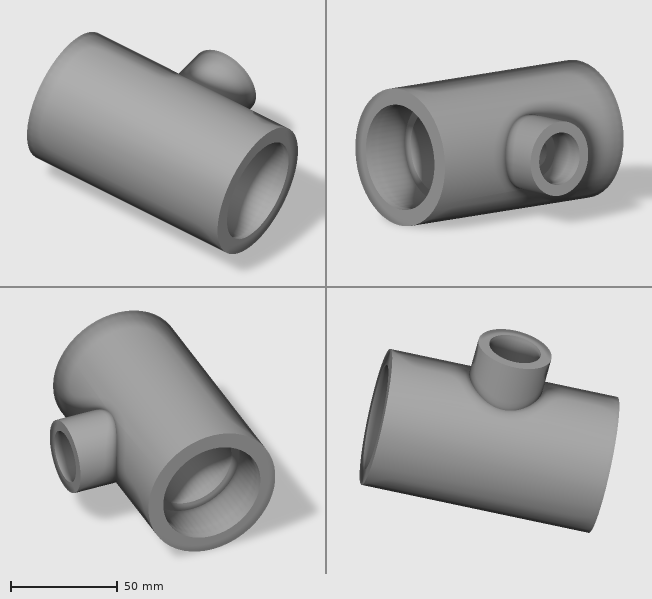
import cadquery as cq

run_length = 110.0
run_diameter = 65.5
run_bore = 41.7
run_socket_diameter = 50.0
run_socket_depth = 24.0

branch_reach = 51.0
branch_diameter = 35.5
branch_bore = 15.0
branch_socket_diameter = 25.0
branch_socket_depth = 18.0


def cylinder_x(diameter, start, length):
    """Cylinder on the run axis, from x = start towards +X."""
    return cq.Workplane("YZ").workplane(offset=start).circle(diameter / 2).extrude(length)


def cylinder_y(diameter, start, length):
    """Cylinder on the branch axis, from y = start towards +Y."""
    return cq.Workplane("XZ").workplane(offset=-start).circle(diameter / 2).extrude(-length)


run_start = -run_length / 2
body = cylinder_x(run_diameter, run_start, run_length)
body = body.union(cylinder_y(branch_diameter, 0, branch_reach))

body = body.cut(cylinder_x(run_bore, run_start, run_length))
for socket_start in (run_start, run_length / 2 - run_socket_depth):
    body = body.cut(cylinder_x(run_socket_diameter, socket_start, run_socket_depth))

body = body.cut(cylinder_y(branch_bore, 0, branch_reach))
socket_floor = branch_reach - branch_socket_depth
result = body.cut(cylinder_y(branch_socket_diameter, socket_floor, branch_socket_depth))